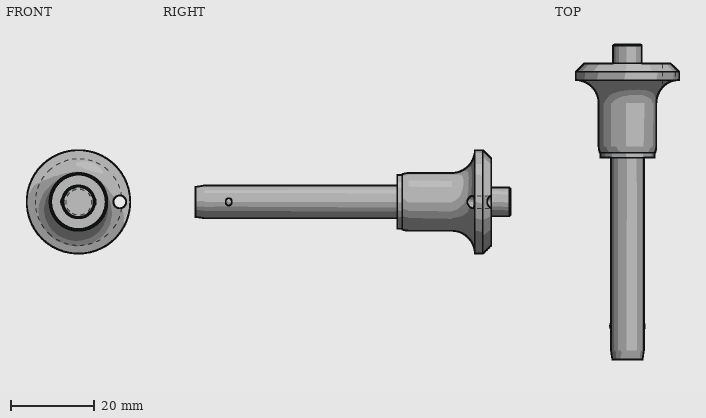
import cadquery as cq
import math

total_length = 75.9

button_radius = 3.5
button_chamfer = 0.4
button_length = 4.6

rim_diameter = 25.0
rim_radius = rim_diameter / 2
rim_chamfer = 2.05
rim_bottom_station = 8.65

neck_radius = 7.0
flare_radius = rim_radius - neck_radius
neck_round_start = 24.6
neck_round_end = 26.1
neck_round_inset = 0.3

nose_radius = 6.5
nose_end = 27.3

shaft_diameter = 8.0
shaft_radius = shaft_diameter / 2
tip_radius = 3.65
tip_length = 2.2

hole_radius = 1.5
hole_offset = 9.95

ball_station = 67.85
ball_footprint_radius = 0.75
ball_protrusion = 0.2


def make_body():
    """Revolve the half profile of the button, handle and shaft about the Y axis."""
    def point(radius, station):
        return radius, -station

    flare_end = rim_bottom_station + flare_radius
    flare_reach = flare_radius * (1 - math.sqrt(0.5))
    flare_middle = point(neck_radius + flare_reach, rim_bottom_station + flare_reach)

    profile = (
        cq.Workplane("XY")
        .moveTo(0, 0)
        .lineTo(*point(button_radius - button_chamfer, 0))
        .lineTo(*point(button_radius, button_chamfer))
        .lineTo(*point(button_radius, button_length))
        .lineTo(*point(rim_radius - rim_chamfer, button_length))
        .lineTo(*point(rim_radius, button_length + rim_chamfer))
        .lineTo(*point(rim_radius, rim_bottom_station))
        .threePointArc(flare_middle, point(neck_radius, flare_end))
        .lineTo(*point(neck_radius, neck_round_start))
        .tangentArcPoint(point(neck_radius - neck_round_inset, neck_round_end), relative=False)
        .lineTo(*point(nose_radius, neck_round_end))
        .lineTo(*point(nose_radius, nose_end))
        .lineTo(*point(shaft_radius, nose_end))
        .lineTo(*point(shaft_radius, total_length - tip_length))
        .lineTo(*point(tip_radius, total_length))
        .lineTo(*point(0, total_length))
        .close()
    )
    return profile.revolve(360, (0, 0, 0), (0, 1, 0))


def make_lanyard_hole():
    """Round hole through the rim, parallel to the pin."""
    return cq.Workplane("XZ").center(hole_offset, 0).circle(hole_radius).extrude(nose_end)


def make_ball(side):
    """Locking ball standing slightly proud of the shaft on one side (+1 or -1 along X)."""
    ball_radius = (ball_footprint_radius**2 + ball_protrusion**2) / (2 * ball_protrusion)
    center_x = shaft_radius + ball_protrusion - ball_radius
    return cq.Workplane("XY").sphere(ball_radius).translate((side * center_x, -ball_station, 0))


result = make_body().cut(make_lanyard_hole())
for side in (-1, 1):
    result = result.union(make_ball(side))